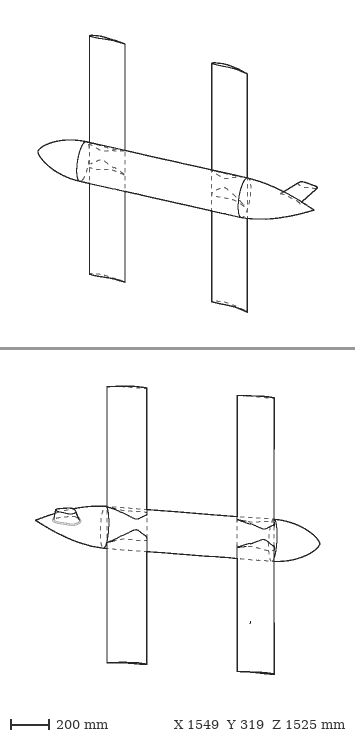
import cadquery as cq
import math

length = 1549.0
barrel_start = 255.0
barrel_end = 1168.0
half_height = 91.0
half_width = 113.0

nose_power = 0.7
nose_points = 12
tail_power = 1.75
tail_rise = 28.0
tail_rise_power = 1.5
tail_tip_scale = 0.01
tail_sections = 6

wing_span = 1525.0
wing_edge_y = 67.0
wing_top_y = 88.0
trailing_edge_thickness = 2.0
front_wing_x = 265.0
front_wing_chord = 201.0
rear_wing_x = 956.0
rear_wing_chord = 210.0
rear_wing_droop = 22.0

fin_top_y = 319.0 - half_height
fin_top_x = 1382.0
fin_top_chord = 110.0
fin_base_y = 31.0
fin_base_x = 1305.0
fin_base_chord = 149.0
fin_thickness_ratio = 0.3
fin_edge_ratio = 0.25
fin_fillet = 8.0


def ellipse_section(x, center_y, scale):
    """Fuselage cross-section wire in the YZ plane at station x."""
    return cq.Wire.makeEllipse(
        half_width * scale,
        half_height * scale,
        cq.Vector(x, center_y, 0),
        cq.Vector(1, 0, 0),
        cq.Vector(0, 0, 1),
    )


def make_nose():
    """Revolve a rounded profile, then flatten it along Y to an elliptic section."""
    profile = []
    for i in range(nose_points + 1):
        angle = math.pi / 2 * i / nose_points
        x = barrel_start * (1 - math.cos(angle))
        radius = half_width * math.sin(angle) ** (2 * nose_power)
        profile.append((x, radius))
    round_nose = (
        cq.Workplane("XY")
        .moveTo(0, 0)
        .spline(profile[1:], includeCurrent=True)
        .lineTo(barrel_start, 0)
        .close()
        .revolve(360, (0, 0, 0), (1, 0, 0))
    )
    flatten = cq.Matrix([
        [1, 0, 0, 0],
        [0, half_height / half_width, 0, 0],
        [0, 0, 1, 0],
    ])
    return cq.Workplane(round_nose.val().transformGeometry(flatten))


def make_wing(x, chord, droop):
    """Cambered wing with a hollow underside, in one piece from tip to tip."""
    trailing_x = x + chord
    trailing_y = wing_edge_y - droop
    rise = wing_top_y - wing_edge_y
    upper = [
        (x + 0.08 * chord, wing_edge_y + 0.65 * rise),
        (x + 0.3 * chord, wing_top_y),
        (x + 0.65 * chord, wing_edge_y + 0.6 * rise - 0.2 * droop),
        (trailing_x, trailing_y + trailing_edge_thickness),
    ]
    lower = [
        (x + 0.6 * chord, wing_edge_y + 0.3 * rise - 0.35 * droop),
        (x + 0.15 * chord, wing_edge_y - 0.1 * rise),
        (x, wing_edge_y),
    ]
    upper_leading_tangent = (0, 1)
    lower_leading_tangent = (-chord, rise)
    upper_trailing_tangent = (chord, -2 * (rise + droop))
    lower_trailing_tangent = (-chord, rise + 2 * droop)
    return (
        cq.Workplane("XY", origin=(0, 0, -wing_span / 2))
        .moveTo(x, wing_edge_y)
        .spline(upper, tangents=[upper_leading_tangent, upper_trailing_tangent], includeCurrent=True)
        .lineTo(trailing_x, trailing_y)
        .spline(lower, tangents=[lower_trailing_tangent, lower_leading_tangent], includeCurrent=True)
        .close()
        .extrude(wing_span)
    )


def make_barrel(wings):
    """Elliptic centre fuselage with a channel matching each wing."""
    barrel = (
        cq.Workplane("YZ", origin=(barrel_start, 0, 0))
        .ellipse(half_height, half_width)
        .extrude(barrel_end - barrel_start)
    )
    for wing in wings:
        barrel = barrel.cut(wing)
    return barrel.solids()


def fin_section(x, y, chord):
    """Symmetric, smooth closed fin section in the plane at height y."""
    half_thickness = fin_thickness_ratio * chord / 2
    side = [
        (0.08, 0.68),
        (0.35, 1.0),
        (0.7, 0.65),
        (0.96, fin_edge_ratio),
    ]
    front = [cq.Vector(x, y, 0)]
    upper = [cq.Vector(x + u * chord, y, w * half_thickness) for u, w in side]
    back = [cq.Vector(x + chord, y, 0)]
    lower = [cq.Vector(p.x, p.y, -p.z) for p in reversed(upper)]
    outline = cq.Edge.makeSpline(front + upper + back + lower, periodic=True)
    return cq.Wire.assembleEdges([outline])


def make_tail():
    """Upswept tail cone carrying the swept, tapered fin with a filleted root."""
    sections = []
    for i in range(tail_sections + 1):
        t = i / tail_sections
        scale = max(1 - t ** tail_power, tail_tip_scale)
        x = barrel_end + t * (length - barrel_end)
        sections.append(ellipse_section(x, tail_rise * t ** tail_rise_power, scale))
    cone = cq.Workplane(cq.Solid.makeLoft(sections))
    fin = cq.Solid.makeLoft([
        fin_section(fin_base_x, fin_base_y, fin_base_chord),
        fin_section(fin_top_x, fin_top_y, fin_top_chord),
    ])
    tail = cone.union(cq.Workplane(fin))
    root = cq.selectors.BoxSelector(
        (fin_base_x, tail_rise + fin_fillet, -half_width),
        (length, half_height, half_width),
    )
    return tail.edges(root).fillet(fin_fillet).solids()


front_wing = make_wing(front_wing_x, front_wing_chord, 0)
rear_wing = make_wing(rear_wing_x, rear_wing_chord, rear_wing_droop)
nose = make_nose()
barrel = make_barrel([front_wing, rear_wing])
tail = make_tail()

result = cq.Compound.makeCompound([
    nose.val(),
    barrel.val(),
    tail.val(),
    front_wing.val(),
    rear_wing.val(),
])